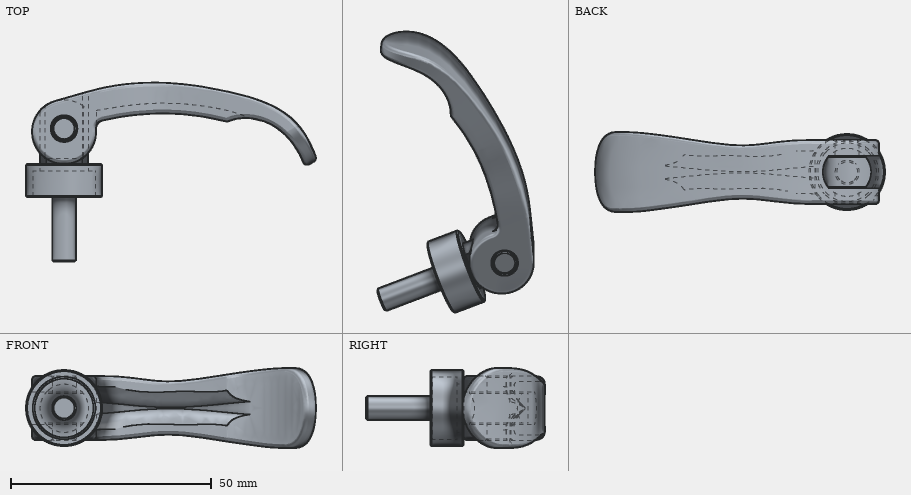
import cadquery as cq
import math


pin_radius = 3.0
pin_chamfer = 0.4
stem_radius = 6.0
stem_neck_width = 7.3
stem_foot_width = 8.0
stem_foot_height = 1.4
stud_radius = 3.0
stud_end_y = -33.1
stud_chamfer = 0.4

hub_radius = 8.0
hub_half_width = 8.0
cam_offset = 0.8
hub_center_y = -cam_offset
slot_width = stem_foot_width
pin_hole_chamfer = 0.35
edge_fillet = 1.0

collar_radius = 9.5
collar_height = 8.3
collar_wall = 1.7
collar_chamfer = 0.35
head_radius = collar_radius - collar_wall
head_chamfer = 0.5
collar_top_y = hub_center_y - hub_radius
collar_bottom_y = collar_top_y - collar_height
head_top_y = collar_top_y - collar_wall

arm_reach = 80.0

hub_tangent_angle = math.radians(106)
hub_tangent = (
    hub_radius * math.cos(hub_tangent_angle),
    hub_center_y + hub_radius * math.sin(hub_tangent_angle),
)
hub_tangent_direction = (math.sin(hub_tangent_angle), -math.cos(hub_tangent_angle))
arm_start_length = 8.5
arm_top_start = (
    hub_tangent[0] + arm_start_length * hub_tangent_direction[0],
    hub_tangent[1] + arm_start_length * hub_tangent_direction[1],
)
arm_crest = (25.0, 11.43)
pad_top = [(41.1, 9.15), (51.5, 5.85), (56.8, 2.4), (60.3, -2.0), (62.95, -7.9)]
tip_outer = (63.7, -10.5)
tip_inner = (60.1, -10.5)
pad_underside = [(59.6, -8.7), (56.7, -3.4), (53.3, -0.1), (49.8, 1.8), (45.0, 2.65)]
arm_under_crest = (24.5, 3.75)
arm_under_radius = 64.0


def arm_under_y(x):
    """Height of the arched underside of the arm."""
    run = x - arm_under_crest[0]
    return arm_under_crest[1] - arm_under_radius + math.sqrt(arm_under_radius**2 - run**2)


pad_heel_x = 40.6
pad_heel = (pad_heel_x, arm_under_y(pad_heel_x))
neck_corner_y = arm_under_y(hub_radius)
neck_fillet = 2.0
tip_direction = (0.28, -0.96)

waist_x = 25.5
waist_half_width = 6.65
hub_side_end_x = 9.0
pad_start = (41.1, 8.45)
pad_half_width = 9.995
pad_middle = (48.0, 9.42)
pad_side_end_x = 56.0

pad_tilt = math.radians(-60)
pad_along = (math.cos(pad_tilt), math.sin(pad_tilt), 0)
pad_normal = (-math.sin(pad_tilt), math.cos(pad_tilt), 0)
pad_end_start = 28.0
pad_end_length = 10.2

groove_stations = [
    (hub_radius, 4.6, 1.5, 5.4),
    (16.5, 5.9, 0.7, 5.3),
    (25.5, 6.4, 0.15, 5.0),
    (33.0, 5.9, 0.4, 5.0),
    (40.5, 4.6, 1.1, 5.1),
]
groove_end_x = 46.4
groove_end_y = 2.5
groove_end_half = 1.6
groove_end_mouth = 2.5
groove_end_depth = 0.4
groove_overcut = 2.0
mouth_gap = 0.15
rim_bulge = 0.63


def revolved(points):
    """Turn a (radius, y) outline about the Y axis."""
    return cq.Workplane("XY").polyline(points).close().revolve(360, (0, 0, 0), (0, 1, 0))


def mirrored(point):
    """Same place on the other side of the lever's middle plane."""
    return (point[0], -point[1])


def z_slab(width, y_low, y_high):
    """Block of the given Z width between two heights on Y, wide enough for the whole hub."""
    return cq.Workplane("XY").box(4 * hub_radius, y_high - y_low, width).translate(
        (0, (y_low + y_high) / 2, 0)
    )


def z_cylinder(radius, half_length, center_y=0.0):
    return (
        cq.Workplane("XY", origin=(0, center_y, -half_length)).circle(radius).extrude(2 * half_length)
    )


def lever_side_profile():
    neck_corner = (hub_radius, neck_corner_y)
    profile = (
        cq.Workplane("XY", origin=(0, 0, -2 * pad_half_width))
        .moveTo(*hub_tangent)
        .lineTo(*arm_top_start)
        .spline(
            [arm_crest, *pad_top, tip_outer],
            tangents=[hub_tangent_direction, tip_direction],
            includeCurrent=True,
        )
        .lineTo(*tip_inner)
        .spline([*pad_underside, pad_heel], includeCurrent=True)
        .threePointArc(arm_under_crest, neck_corner)
        .lineTo(hub_radius, hub_center_y)
        .threePointArc((-hub_radius, hub_center_y), hub_tangent)
        .close()
        .extrude(4 * pad_half_width)
    )
    return profile.edges(cq.selectors.NearestToPointSelector((*neck_corner, 0))).fillet(neck_fillet)


def lever_width_profile():
    return (
        cq.Workplane("XZ", origin=(0, 2 * hub_radius, 0))
        .moveTo(-2 * hub_radius, -hub_half_width)
        .lineTo(hub_side_end_x, -hub_half_width)
        .spline(
            [(waist_x, -waist_half_width), mirrored(pad_start), mirrored(pad_middle),
             (pad_side_end_x, -pad_half_width)],
            tangents=[(1, 0), (1, 0)],
            includeCurrent=True,
        )
        .lineTo(arm_reach, -pad_half_width)
        .lineTo(arm_reach, pad_half_width)
        .lineTo(pad_side_end_x, pad_half_width)
        .spline(
            [pad_middle, pad_start, (waist_x, waist_half_width), (hub_side_end_x, hub_half_width)],
            tangents=[(-1, 0), (-1, 0)],
            includeCurrent=True,
        )
        .lineTo(-2 * hub_radius, hub_half_width)
        .close()
        .extrude(4 * hub_radius)
    )


def pad_end_profile():
    """Shape at right angles to the tilted finger pad that rounds off its end."""
    plane = cq.Plane(origin=(0, 0, 0), xDir=pad_along, normal=pad_normal)
    return (
        cq.Workplane(plane)
        .moveTo(-arm_reach, -pad_half_width)
        .lineTo(pad_end_start, -pad_half_width)
        .threePointArc((pad_end_start + pad_end_length, 0), (pad_end_start, pad_half_width))
        .lineTo(-arm_reach, pad_half_width)
        .close()
        .extrude(arm_reach, both=True)
    )


def groove_section(x, floor_y, floor_half, mouth_y, mouth_half):
    """Groove outline across the arm; its walls flare out into rounded rims."""
    rim_half = floor_half + (1 - rim_bulge) * (mouth_half - floor_half)
    rim_y = floor_y + rim_bulge * (mouth_y - floor_y)
    bottom_y = mouth_y - groove_overcut
    outline = (
        cq.Workplane(cq.Plane(origin=(x, 0, 0), xDir=(0, 1, 0), normal=(1, 0, 0)))
        .moveTo(floor_y, -floor_half)
        .lineTo(floor_y, floor_half)
        .threePointArc((rim_y, rim_half), (mouth_y, mouth_half))
        .lineTo(bottom_y, mouth_half)
        .lineTo(bottom_y, -mouth_half)
        .lineTo(mouth_y, -mouth_half)
        .threePointArc((rim_y, -rim_half), (floor_y, -floor_half))
        .close()
    )
    return outline.val()


def groove_cutter():
    sections = [
        groove_section(x, floor_y, floor_half, arm_under_y(x) - mouth_gap, mouth_half)
        for x, floor_y, floor_half, mouth_half in groove_stations
    ]
    end_mouth_y = groove_end_y - groove_end_depth
    sections.append(
        groove_section(groove_end_x, groove_end_y, groove_end_half, end_mouth_y, groove_end_mouth)
    )
    return cq.Workplane(obj=cq.Solid.makeLoft(sections))


def fork_slot():
    """Slot that straddles the stem, open to the back of the hub and rounded towards the arm."""
    reach = 2 * hub_radius
    bore = cq.Workplane("XZ", origin=(0, reach, 0)).circle(stem_radius).extrude(2 * reach)
    back = cq.Workplane("XY").box(reach, 2 * reach, slot_width).translate((-reach / 2, 0, 0))
    return bore.intersect(z_slab(slot_width, -reach, reach)).union(back)


def pin_hole():
    mouth_radius = pin_radius + pin_hole_chamfer
    half = hub_half_width
    outline = [
        (0, -half), (mouth_radius, -half), (pin_radius, -half + pin_hole_chamfer),
        (pin_radius, half - pin_hole_chamfer), (mouth_radius, half), (0, half),
    ]
    return cq.Workplane("XZ").polyline(outline).close().revolve(360, (0, 0, 0), (0, 1, 0))


def make_lever():
    blank = lever_side_profile().intersect(lever_width_profile()).intersect(pad_end_profile())
    blank = blank.edges().fillet(edge_fillet)
    grooved = blank.cut(groove_cutter())
    return grooved.cut(fork_slot()).cut(pin_hole())


def make_stud():
    """Stud with its head, flattened stem and cross pin."""
    shaft = revolved([
        (0, hub_center_y + hub_radius), (stem_radius, hub_center_y + hub_radius),
        (stem_radius, head_top_y), (head_radius, head_top_y),
        (head_radius, collar_bottom_y + head_chamfer),
        (head_radius - head_chamfer, collar_bottom_y),
        (stud_radius, collar_bottom_y), (stud_radius, stud_end_y + stud_chamfer),
        (stud_radius - stud_chamfer, stud_end_y), (0, stud_end_y),
    ])
    foot_top_y = collar_top_y + stem_foot_height
    above = 2 * hub_radius
    full_width = 4 * hub_radius
    envelope = (
        z_slab(stem_neck_width, foot_top_y, above)
        .union(z_slab(stem_foot_width, collar_top_y, foot_top_y))
        .union(z_slab(full_width, stud_end_y, collar_top_y))
    )
    stem_end = z_cylinder(hub_radius, hub_radius, hub_center_y).union(
        z_slab(full_width, stud_end_y, hub_center_y)
    )
    pin = z_cylinder(pin_radius, hub_half_width).faces("<Z or >Z").chamfer(pin_chamfer)
    return shaft.intersect(envelope).intersect(stem_end).union(pin)


def make_collar():
    rim = collar_radius - collar_chamfer
    return revolved([
        (stem_radius, collar_top_y), (rim, collar_top_y),
        (collar_radius, collar_top_y - collar_chamfer),
        (collar_radius, collar_bottom_y + collar_chamfer),
        (rim, collar_bottom_y), (head_radius, collar_bottom_y),
        (head_radius, head_top_y), (stem_radius, head_top_y),
    ])


lever = make_lever().solids()
stud = make_stud().solids()
collar = make_collar().solids()
result = cq.Compound.makeCompound([lever.val(), stud.val(), collar.val()])